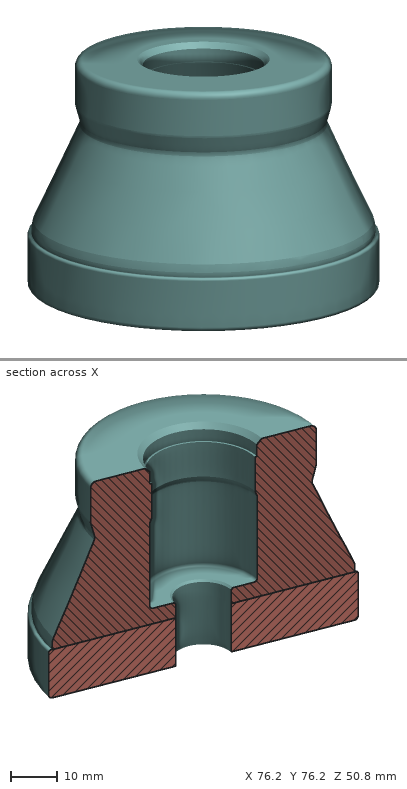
import cadquery as cq

HOLE_RADIUS = 6.8
HOLE_CHAMFER = 0.45

BASE_RADIUS = 38.1
BASE_HEIGHT = 12.05
BASE_TOP_ROUND = 0.6
BASE_BOTTOM_ROUND = 1.0

CUP_HEIGHT = 38.8
FOOT_RADIUS = 37.25
FOOT_HEIGHT = 2.0
FOOT_ROUND = 4.3
THROAT_RADIUS = 26.7
THROAT_HEIGHT = 24.8
THROAT_ROUND = 1.3
COLLAR_RADIUS = 27.8
COLLAR_LENGTH = 9.9
COLLAR_BOTTOM_ROUND = 1.8
COLLAR_TOP_ROUND = 1.5

SEAT_RADIUS = 13.1
SEAT_DEPTH = 4.1
SEAT_CHAMFER = 1.2
LAND_RADIUS = 12.65
LAND_BOTTOM_DEPTH = 12.65
FLARE_BOTTOM_DEPTH = 14.0
FLARE_BOTTOM_ROUND = 0.8
LOWER_BORE_RADIUS = 13.2
FLOOR_THICKNESS = 3.8
FLOOR_ROUND = 0.8

COLLAR_BOTTOM = CUP_HEIGHT - COLLAR_LENGTH
SEAT_BOTTOM = CUP_HEIGHT - SEAT_DEPTH
LAND_BOTTOM = CUP_HEIGHT - LAND_BOTTOM_DEPTH
FLARE_BOTTOM = CUP_HEIGHT - FLARE_BOTTOM_DEPTH

SELECTION_MARGIN = 0.1


def edges_at_height(height):
    """Selector for the edges that lie wholly at one height."""
    reach = 2 * BASE_RADIUS
    return cq.selectors.BoxSelector(
        (-reach, -reach, height - SELECTION_MARGIN),
        (reach, reach, height + SELECTION_MARGIN),
        boundingbox=True,
    )


def make_hole(depth):
    """Centre hole, cut upward from the XY plane."""
    return cq.Workplane("XY").circle(HOLE_RADIUS).extrude(depth)


def make_base():
    """Flat disc with rounded rims and a plain centre hole."""
    disc = cq.Workplane("XY").circle(BASE_RADIUS).extrude(BASE_HEIGHT)
    disc = disc.faces(">Z").edges().fillet(BASE_TOP_ROUND)
    disc = disc.faces("<Z").edges().fillet(BASE_BOTTOM_ROUND)
    return disc.cut(make_hole(BASE_HEIGHT))


def make_cup_outside():
    """Solid of revolution: foot, cone, throat and collar, with rounded corners."""
    blank = (
        cq.Workplane("XZ")
        .moveTo(0, 0)
        .lineTo(FOOT_RADIUS, 0)
        .lineTo(FOOT_RADIUS, FOOT_HEIGHT)
        .lineTo(THROAT_RADIUS, THROAT_HEIGHT)
        .lineTo(COLLAR_RADIUS, COLLAR_BOTTOM)
        .lineTo(COLLAR_RADIUS, CUP_HEIGHT)
        .lineTo(0, CUP_HEIGHT)
        .close()
        .revolve(360, (0, 0, 0), (0, 1, 0))
    )
    corner_rounds = [
        (FOOT_HEIGHT, FOOT_ROUND),
        (THROAT_HEIGHT, THROAT_ROUND),
        (COLLAR_BOTTOM, COLLAR_BOTTOM_ROUND),
        (CUP_HEIGHT, COLLAR_TOP_ROUND),
    ]
    for height, radius in corner_rounds:
        blank = blank.edges(edges_at_height(height)).fillet(radius)
    return blank


def make_cup_bore():
    """Blind bore: chamfered seat, narrower land, then a flare to the round-cornered lower bore."""
    bore = (
        cq.Workplane("XZ")
        .moveTo(0, FLOOR_THICKNESS)
        .lineTo(LOWER_BORE_RADIUS, FLOOR_THICKNESS)
        .lineTo(LOWER_BORE_RADIUS, FLARE_BOTTOM)
        .lineTo(LAND_RADIUS, LAND_BOTTOM)
        .lineTo(LAND_RADIUS, SEAT_BOTTOM)
        .lineTo(SEAT_RADIUS, SEAT_BOTTOM)
        .lineTo(SEAT_RADIUS, CUP_HEIGHT - SEAT_CHAMFER)
        .lineTo(SEAT_RADIUS + SEAT_CHAMFER, CUP_HEIGHT)
        .lineTo(0, CUP_HEIGHT)
        .close()
        .revolve(360, (0, 0, 0), (0, 1, 0))
    )
    bore = bore.edges(edges_at_height(FLARE_BOTTOM)).fillet(FLARE_BOTTOM_ROUND)
    return bore.edges(edges_at_height(FLOOR_THICKNESS)).fillet(FLOOR_ROUND)


def make_cup():
    """Cup standing on the base, with a hole in its floor chamfered at the upper rim."""
    cup = make_cup_outside().cut(make_cup_bore()).cut(make_hole(FLOOR_THICKNESS))
    hole_rim = cup.edges(edges_at_height(FLOOR_THICKNESS)).edges(cq.selectors.RadiusNthSelector(0))
    return hole_rim.chamfer(HOLE_CHAMFER).translate((0, 0, BASE_HEIGHT))


base = make_base()
cup = make_cup()

result = cq.Compound.makeCompound([base.val(), cup.val()])